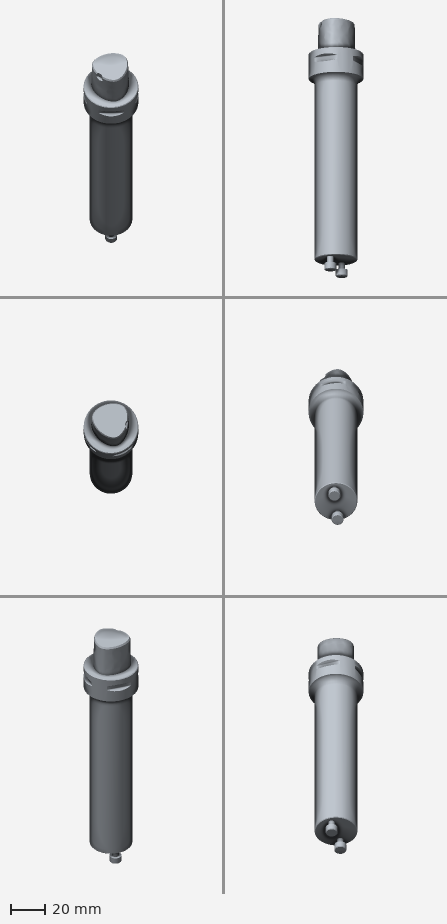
import cadquery as cq
import math

SHANK_LENGTH = 19.0
SHANK_BASE_DIAMETER = 22.1
SHANK_TAPER = 1 / 20
LOBE_ECCENTRICITY = 0.7
SHANK_CHAMFER_WIDTH = 0.6
SHANK_CHAMFER_HEIGHT = 1.0
OUTLINE_POINTS = 36

NOTCH_DIAMETER = 6.0
NOTCH_WALL_DEPTH = 3.3
NOTCH_TIP_ANGLE = 118.0
NOTCH_CENTRE_Y = -11.6

FLANGE_DIAMETER = 32.0
FLANGE_LENGTH = 15.2
FLANGE_CHAMFER = 0.4

DIAGONAL_ANGLE = 45.0

GROOVE_COUNT = 4
GROOVE_Z = -6.0
GROOVE_FLOOR_DISTANCE = 14.2
GROOVE_FLOOR_WIDTH = 2.5
GROOVE_CORNER_RADIUS = 0.45
GROOVE_FLANK_ANGLE = 30.0

BODY_DIAMETER = 25.0
BODY_END_Z = -125.0
BODY_CHAMFER = 0.4
NECK_LENGTH = 4.0

SCREW_CIRCLE_DIAMETER = 16.0
SCREW_NECK_DIAMETER = 4.0
SCREW_NECK_LENGTH = 4.0
SCREW_HEAD_DIAMETER = 7.0
SCREW_HEAD_LENGTH = 4.0
SCREW_HEAD_CHAMFER = 0.4


def lobed_outline(diameter, z):
    """Closed three-lobed curve of constant width, with one lobe toward +Y."""
    e = LOBE_ECCENTRICITY
    points = []
    for i in range(OUTLINE_POINTS):
        a = 2 * math.pi * i / OUTLINE_POINTS
        along = diameter / 2 * math.cos(a) + 2 * e * math.cos(2 * a) - e * math.cos(4 * a)
        across = diameter / 2 * math.sin(a) - 2 * e * math.sin(2 * a) - e * math.sin(4 * a)
        points.append(cq.Vector(-across, along, z))
    edge = cq.Edge.makeSpline(points, periodic=True)
    return cq.Wire.assembleEdges([edge])


def tapered_lobe(bottom_diameter, bottom_z, top_diameter, top_z):
    """Lobed solid between two outlines, with straight flanks."""
    wires = [lobed_outline(bottom_diameter, bottom_z), lobed_outline(top_diameter, top_z)]
    return cq.Workplane(cq.Solid.makeLoft(wires, True))


def make_shank():
    chamfer_z = SHANK_LENGTH - SHANK_CHAMFER_HEIGHT
    chamfer_diameter = SHANK_BASE_DIAMETER - SHANK_TAPER * chamfer_z
    top_diameter = chamfer_diameter - 2 * SHANK_CHAMFER_WIDTH
    taper = tapered_lobe(SHANK_BASE_DIAMETER, 0, chamfer_diameter, chamfer_z)
    return taper.union(tapered_lobe(chamfer_diameter, chamfer_z, top_diameter, SHANK_LENGTH))


def make_notch():
    radius = NOTCH_DIAMETER / 2
    rim_z = SHANK_LENGTH - NOTCH_WALL_DEPTH
    tip_z = rim_z - radius / math.tan(math.radians(NOTCH_TIP_ANGLE / 2))
    return (
        cq.Workplane("XZ")
        .moveTo(0, SHANK_LENGTH)
        .lineTo(radius, SHANK_LENGTH)
        .lineTo(radius, rim_z)
        .lineTo(0, tip_z)
        .close()
        .revolve(360, (0, 0, 0), (0, 1, 0))
        .translate((0, NOTCH_CENTRE_Y, 0))
    )


def make_flange_and_body():
    flange_radius = FLANGE_DIAMETER / 2
    body_radius = BODY_DIAMETER / 2
    neck_flare = flange_radius - body_radius
    neck_end_z = -FLANGE_LENGTH - NECK_LENGTH
    neck_radius = (neck_flare**2 + NECK_LENGTH**2) / (2 * neck_flare)
    half_sweep = math.asin(NECK_LENGTH / neck_radius) / 2
    neck_middle = (
        body_radius + neck_radius * (1 - math.cos(half_sweep)),
        neck_end_z + neck_radius * math.sin(half_sweep),
    )
    return (
        cq.Workplane("XZ")
        .moveTo(0, 0)
        .lineTo(flange_radius - FLANGE_CHAMFER, 0)
        .lineTo(flange_radius, -FLANGE_CHAMFER)
        .lineTo(flange_radius, -FLANGE_LENGTH)
        .threePointArc(neck_middle, (body_radius, neck_end_z))
        .lineTo(body_radius, BODY_END_Z + BODY_CHAMFER)
        .lineTo(body_radius - BODY_CHAMFER, BODY_END_Z)
        .lineTo(0, BODY_END_Z)
        .close()
        .revolve(360, (0, 0, 0), (0, 1, 0))
    )


def make_groove(angle):
    """Straight trapezoid groove across the flange, opening outward at the given angle."""
    rim = FLANGE_DIAMETER / 2
    floor_half = GROOVE_FLOOR_WIDTH / 2
    flank_rise = (rim - GROOVE_FLOOR_DISTANCE) * math.tan(math.radians(GROOVE_FLANK_ANGLE))
    rim_half = floor_half + flank_rise
    return (
        cq.Workplane("XZ")
        .polyline(
            [
                (GROOVE_FLOOR_DISTANCE, GROOVE_Z - floor_half),
                (rim, GROOVE_Z - rim_half),
                (rim, GROOVE_Z + rim_half),
                (GROOVE_FLOOR_DISTANCE, GROOVE_Z + floor_half),
            ]
        )
        .close()
        .extrude(rim, both=True)
        .edges("|Y and <X")
        .fillet(GROOVE_CORNER_RADIUS)
        .rotate((0, 0, 0), (0, 0, 1), angle)
    )


def make_screw(x, y):
    head_top_z = BODY_END_Z - SCREW_NECK_LENGTH
    neck = (
        cq.Workplane("XY", origin=(x, y, head_top_z))
        .circle(SCREW_NECK_DIAMETER / 2)
        .extrude(SCREW_NECK_LENGTH)
    )
    head = (
        cq.Workplane("XY", origin=(x, y, head_top_z))
        .circle(SCREW_HEAD_DIAMETER / 2)
        .extrude(-SCREW_HEAD_LENGTH)
        .faces("<Z")
        .chamfer(SCREW_HEAD_CHAMFER)
    )
    return neck.union(head)


result = make_flange_and_body().union(make_shank()).cut(make_notch())
for i in range(GROOVE_COUNT):
    result = result.cut(make_groove(DIAGONAL_ANGLE + i * 360 / GROOVE_COUNT))
screw_offset = SCREW_CIRCLE_DIAMETER / 2 * math.cos(math.radians(DIAGONAL_ANGLE))
for side in (-1, 1):
    result = result.union(make_screw(side * screw_offset, -side * screw_offset))